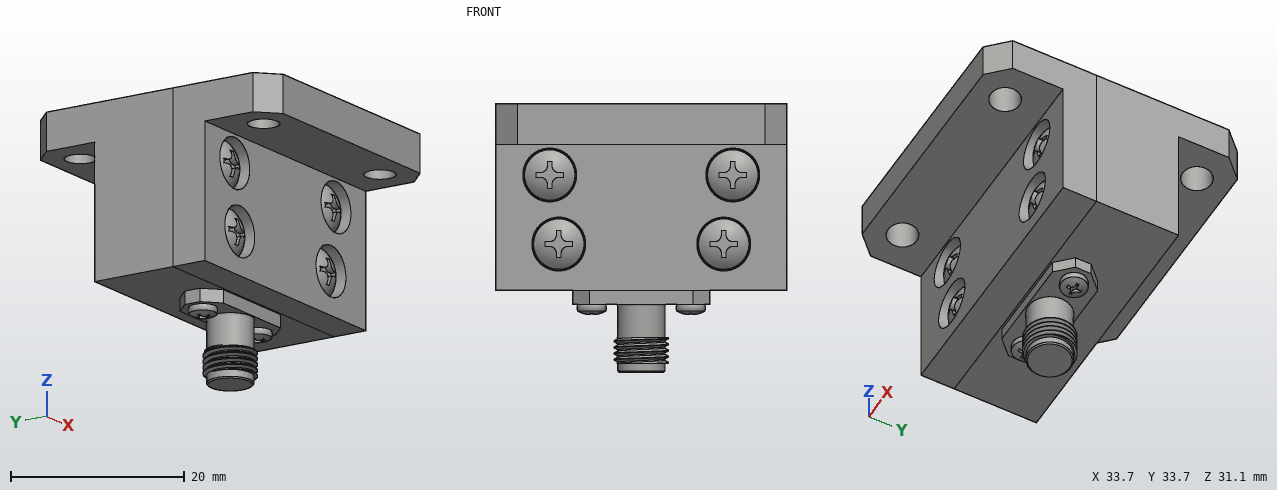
import cadquery as cq
import math

SIDE = 33.65
FLANGE_THICKNESS = 4.75
CORNER_CHAMFER = 2.52
MOUNT_HOLE_DIAMETER = 3.77
MOUNT_HOLE_X = 12.15
MOUNT_HOLE_Y = 12.7

BODY_DEPTH = 15.28
BODY_BOTTOM = -21.58
CHANNEL_WIDTH = 12.95
CHANNEL_HEIGHT = 6.45
CHANNEL_END_WALL = FLANGE_THICKNESS
SPLIT_Y = -CHANNEL_HEIGHT / 2
FRONT_FACE_Y = -BODY_DEPTH / 2

CROSS_LENGTH_RATIO = 0.52
CROSS_WIDTH_RATIO = 0.09
CROSS_FILLET_RATIO = 0.13
CROSS_DEPTH_RATIO = 0.15
BEVEL_WIDTH_RATIO = 0.02
BEVEL_HEIGHT_RATIO = 0.33

CLAMP_HEAD_DIAMETER = 6.05
CLAMP_SIDE_HEIGHT = 1.5
CLAMP_DOME_RISE = 1.2
CLAMP_RECESS_DIAMETER = 6.23
CLAMP_RECESS_DEPTH = 2.83
UPPER_CLAMP_X = 10.57
UPPER_CLAMP_Z = -8.25
LOWER_CLAMP_X = 9.53
LOWER_CLAMP_Z = -16.22

CONNECTOR_BOTTOM = -31.05
BASE_LENGTH = 15.85
BASE_WIDTH = 6.0
BASE_THICKNESS = 1.6
BASE_CHAMFER = 1.95
BASE_BOTTOM = BODY_BOTTOM - BASE_THICKNESS
BARREL_DIAMETER = 5.5
BARREL_CHAMFER = 0.17
BARREL_FLARE_WIDTH = 0.07
BARREL_FLARE_HEIGHT = 0.25
BASE_HEAD_DIAMETER = 3.4
BASE_HEAD_SIDE_HEIGHT = 0.77
BASE_HEAD_DOME_RISE = 0.45
BASE_HEAD_X = 5.72

THREAD_DIAMETER = 6.33
THREAD_PITCH = 0.7
THREAD_TOP = -27.0
THREAD_BOTTOM = -30.02
THREAD_EMBED = 0.1
THREAD_START = -30.63
RIDGE_BASE_WIDTH = 0.67
RIDGE_CREST_WIDTH = 0.085


def block(y_min, y_max):
    """The flange and the block below it, between two Y planes, with the mounting holes."""
    flange = (
        cq.Workplane("XY")
        .rect(SIDE, SIDE)
        .extrude(-FLANGE_THICKNESS)
        .edges("|Z")
        .chamfer(CORNER_CHAMFER)
    )
    body = cq.Workplane("XY").rect(SIDE, BODY_DEPTH).extrude(BODY_BOTTOM)
    holes = (
        cq.Workplane("XY")
        .rect(2 * MOUNT_HOLE_X, 2 * MOUNT_HOLE_Y, forConstruction=True)
        .vertices()
        .circle(MOUNT_HOLE_DIAMETER / 2)
        .extrude(-FLANGE_THICKNESS)
    )
    kept_region = (
        cq.Workplane("XY")
        .center(0, (y_min + y_max) / 2)
        .rect(SIDE, y_max - y_min)
        .extrude(BODY_BOTTOM)
    )
    return flange.union(body).cut(holes).intersect(kept_region)


def screw_head(diameter, side_height, dome_rise):
    """A domed head that sits on Z = 0, with a bevelled rim and a cross recess in its top."""
    radius = diameter / 2
    bevel_height = BEVEL_HEIGHT_RATIO * side_height
    dome_rim = radius - BEVEL_WIDTH_RATIO * diameter
    height = side_height + dome_rise
    dome_radius = (dome_rim**2 + dome_rise**2) / (2 * dome_rise)
    half_angle = math.asin(dome_rim / dome_radius) / 2
    dome_middle = (
        dome_radius * math.sin(half_angle),
        height - dome_radius * (1 - math.cos(half_angle)),
    )
    head = (
        cq.Workplane("XZ")
        .lineTo(dome_rim, 0)
        .lineTo(radius, bevel_height)
        .lineTo(radius, side_height - bevel_height)
        .lineTo(dome_rim, side_height)
        .threePointArc(dome_middle, (0, height))
        .close()
        .revolve(360, (0, 0), (0, 1))
    )

    arm_length = CROSS_LENGTH_RATIO * diameter
    arm_width = CROSS_WIDTH_RATIO * diameter
    depth = CROSS_DEPTH_RATIO * diameter
    recess_floor = cq.Workplane("XY").workplane(offset=height - depth)
    cross = (
        recess_floor.rect(arm_length, arm_width)
        .extrude(depth)
        .union(recess_floor.rect(arm_width, arm_length).extrude(depth))
    )
    inner_corners = cq.selectors.BoxSelector(
        (-arm_width, -arm_width, 0), (arm_width, arm_width, height)
    )
    cross = cross.edges("|Z").edges(inner_corners).fillet(CROSS_FILLET_RATIO * diameter)
    return head.cut(cross)


def clamp_places():
    """Centres of the clamping screws as (X, Z) pairs."""
    return [
        (side * x, z)
        for x, z in [(UPPER_CLAMP_X, UPPER_CLAMP_Z), (LOWER_CLAMP_X, LOWER_CLAMP_Z)]
        for side in (-1, 1)
    ]


def rear_housing():
    channel = (
        cq.Workplane("XY")
        .rect(CHANNEL_WIDTH, CHANNEL_HEIGHT)
        .extrude(BODY_BOTTOM + CHANNEL_END_WALL)
    )
    return block(SPLIT_Y, SIDE / 2).cut(channel)


def front_housing():
    recesses = (
        cq.Workplane("XZ", origin=(0, FRONT_FACE_Y, 0))
        .pushPoints(clamp_places())
        .circle(CLAMP_RECESS_DIAMETER / 2)
        .extrude(-CLAMP_RECESS_DEPTH)
    )
    return block(-SIDE / 2, SPLIT_Y).cut(recesses)


def clamping_screw(x, z):
    """A screw head standing on the floor of its recess, facing -Y."""
    return (
        screw_head(CLAMP_HEAD_DIAMETER, CLAMP_SIDE_HEIGHT, CLAMP_DOME_RISE)
        .rotate((0, 0, 0), (1, 0, 0), 90)
        .translate((x, FRONT_FACE_Y + CLAMP_RECESS_DEPTH, z))
    )


def thread():
    """A right-hand helical ridge around the barrel, cut flat at both ends."""
    root_radius = BARREL_DIAMETER / 2 - THREAD_EMBED
    crest_radius = THREAD_DIAMETER / 2
    path = cq.Wire.makeHelix(THREAD_PITCH, THREAD_TOP + THREAD_PITCH - THREAD_START, root_radius)
    ridge = (
        cq.Workplane("XZ")
        .polyline(
            [
                (root_radius, -RIDGE_BASE_WIDTH / 2),
                (crest_radius, -RIDGE_CREST_WIDTH / 2),
                (crest_radius, RIDGE_CREST_WIDTH / 2),
                (root_radius, RIDGE_BASE_WIDTH / 2),
            ]
        )
        .close()
        .sweep(cq.Workplane(path), isFrenet=True)
        .translate((0, 0, THREAD_START))
    )
    threaded_length = (
        cq.Workplane("XY", origin=(0, 0, THREAD_BOTTOM))
        .circle(THREAD_DIAMETER)
        .extrude(THREAD_TOP - THREAD_BOTTOM)
    )
    return ridge.intersect(threaded_length)


def connector():
    base = (
        cq.Workplane("XY", origin=(0, 0, BASE_BOTTOM))
        .rect(BASE_LENGTH, BASE_WIDTH)
        .extrude(BASE_THICKNESS)
        .edges("|Z")
        .chamfer(BASE_CHAMFER)
    )
    radius = BARREL_DIAMETER / 2
    barrel = (
        cq.Workplane("XZ")
        .moveTo(0, CONNECTOR_BOTTOM)
        .lineTo(radius - BARREL_CHAMFER, CONNECTOR_BOTTOM)
        .lineTo(radius, CONNECTOR_BOTTOM + BARREL_CHAMFER)
        .lineTo(radius, BASE_BOTTOM - BARREL_FLARE_HEIGHT)
        .lineTo(radius + BARREL_FLARE_WIDTH, BASE_BOTTOM)
        .lineTo(0, BASE_BOTTOM)
        .close()
        .revolve(360, (0, 0), (0, 1))
    )
    solid = base.union(barrel).union(thread())
    head = screw_head(BASE_HEAD_DIAMETER, BASE_HEAD_SIDE_HEIGHT, BASE_HEAD_DOME_RISE)
    head = head.rotate((0, 0, 0), (1, 0, 0), 180)
    for x in (-BASE_HEAD_X, BASE_HEAD_X):
        solid = solid.union(head.translate((x, 0, BASE_BOTTOM)))
    return solid


clamping_screws = [clamping_screw(x, z).val() for x, z in clamp_places()]

result = cq.Compound.makeCompound(
    [rear_housing().val(), front_housing().val(), connector().val(), *clamping_screws]
)